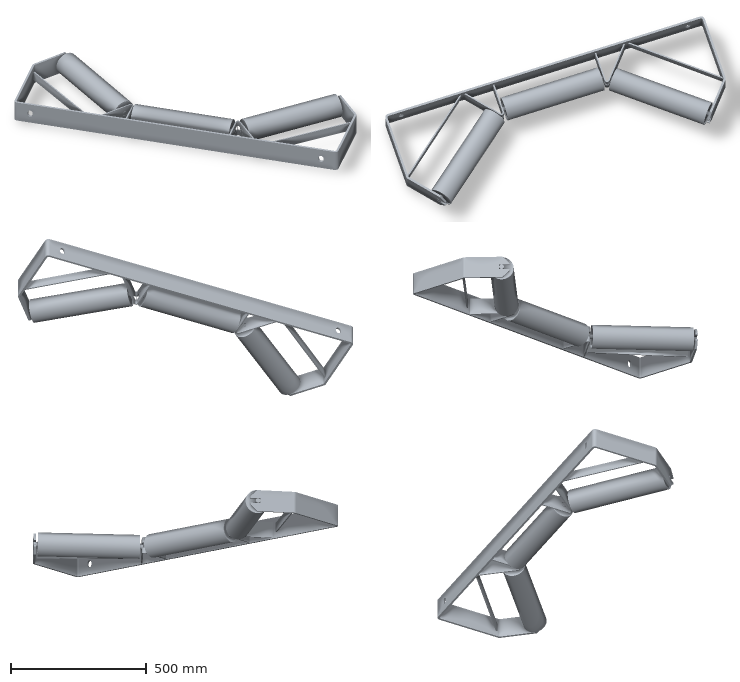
import cadquery as cq
import math


frame_length = 1240.0
frame_width = 79.0
frame_thickness = 8.0
side_height = 262.0
arm_length = 167.0
bend_radius = 14.0
arm_corner_chamfer = 25.0
mount_hole_spacing = 1114.0
mount_hole_width = 19.0
mount_hole_height = 26.0

wing_angle = 40.0
roller_diameter = 88.0
roller_length = 376.0
shaft_diameter = 17.0
tube_wall = 2.0
end_recess = 5.0
shaft_seat_from_tip = 29.0
arm_gap = 7.0
bracket_gap = 7.0
middle_roller_height = 100.0
roller_drop = 7.0

bracket_thickness = 5.0
bracket_width = 60.0
bracket_bend_radius = 10.0
slot_width = 19.0

strut_thickness = 5.0
strut_width = 35.0
strut_foot = 327.0

SIDES = (-1, 1)
slope = math.radians(wing_angle)
inner_bend_radius = bend_radius - frame_thickness
half_length = frame_length / 2


def along_arm(start, distance):
    """Point reached from start by moving up the right-hand arm."""
    return (start[0] - distance * math.sin(slope), start[1] + distance * math.cos(slope))


def along_wing(start, distance):
    """Point reached from start by moving inwards and down along the right-hand wing roller axis."""
    return (start[0] - distance * math.cos(slope), start[1] - distance * math.sin(slope))


def prism(points, width):
    """Straight-sided plate with the given outline in XY, centred on Z."""
    return cq.Workplane("XY").polyline(points).close().extrude(width / 2, both=True)


def mirrored(point):
    return (-point[0], point[1])


arm_bend = (half_length, side_height)
arm_tip = along_arm(arm_bend, arm_length)
arm_seat = along_arm(arm_tip, -shaft_seat_from_tip)
wing_outer_end = along_wing(arm_seat, frame_thickness + arm_gap)
wing_inner_end = along_wing(wing_outer_end, roller_length)
bracket_wing_face = along_wing(wing_inner_end, bracket_gap)
bracket_middle_face = roller_length / 2 + bracket_gap


def shaft_slot(seat, direction_angle, thickness, z):
    """Cutter for a shaft slot through a plate, running from the seat past the plate's edge.

    The plate's outward edge direction makes direction_angle with +X in the XY plane."""
    bottom = shaft_diameter / 2
    reach = 3 * shaft_diameter
    cutter = cq.Workplane("XY").box(bottom + reach, 2 * thickness, slot_width, centered=(False, True, True))
    cutter = cutter.translate((-bottom, 0, 0)).rotate((0, 0, 0), (0, 0, 1), direction_angle)
    return cutter.translate((seat[0], seat[1], z))


def make_frame():
    inner_side = half_length - frame_thickness
    inner_bend = (inner_side, side_height - frame_thickness * math.tan(slope / 2))
    right_half = [
        (half_length, 0),
        arm_bend,
        arm_tip,
        along_wing(arm_tip, frame_thickness),
        inner_bend,
        (inner_side, frame_thickness),
    ]
    left_half = [mirrored(point) for point in reversed(right_half)]
    frame = prism(right_half + left_half, frame_width)

    for side in SIDES:
        for corner, radius in (
            ((half_length, 0), bend_radius),
            (arm_bend, bend_radius),
            (inner_bend, inner_bend_radius),
            ((inner_side, frame_thickness), inner_bend_radius),
        ):
            frame = frame.edges(cq.NearestToPointSelector((side * corner[0], corner[1], 0))).fillet(radius)
        tip = along_wing(arm_tip, frame_thickness / 2)
        for end in (-1, 1):
            corner = (side * tip[0], tip[1], end * frame_width / 2)
            frame = frame.edges(cq.NearestToPointSelector(corner)).chamfer(arm_corner_chamfer)
        seat = along_wing(arm_seat, frame_thickness / 2)
        slot = shaft_slot(seat, 90 + wing_angle, frame_thickness, 0)
        if side < 0:
            slot = slot.mirror("YZ")
        frame = frame.cut(slot)
    holes = (
        cq.Workplane("XZ")
        .pushPoints([(side * mount_hole_spacing / 2, 0) for side in SIDES])
        .slot2D(mount_hole_height, mount_hole_width, 90)
        .extrude(-frame_thickness)
    )
    return frame.cut(holes)


def make_bracket(side):
    def leg_meeting(offset):
        x = bracket_middle_face + offset
        face = along_wing(bracket_wing_face, offset)
        rise = (face[0] - x) / math.tan(slope)
        return (x, face[1] + rise)

    def foot(offset):
        face = along_wing(bracket_wing_face, offset)
        return (face[0] + (face[1] - frame_thickness) * math.tan(slope), frame_thickness)

    outer_apex = leg_meeting(0)
    inner_apex = leg_meeting(bracket_thickness)
    outline = [
        (bracket_middle_face, frame_thickness),
        outer_apex,
        foot(0),
        foot(bracket_thickness),
        inner_apex,
        (inner_apex[0], frame_thickness),
    ]
    bracket = prism(outline, bracket_width).translate((0, 0, -roller_drop))
    for apex, radius in ((outer_apex, bracket_bend_radius), (inner_apex, bracket_bend_radius - bracket_thickness)):
        bracket = bracket.edges(cq.NearestToPointSelector((*apex, -roller_drop))).fillet(radius)
    middle_seat = (bracket_middle_face + bracket_thickness / 2, middle_roller_height)
    wing_seat = along_wing(bracket_wing_face, bracket_thickness / 2)
    bracket = bracket.cut(shaft_slot(middle_seat, 90, bracket_thickness, -roller_drop))
    bracket = bracket.cut(shaft_slot(wing_seat, 90 + wing_angle, bracket_thickness, -roller_drop))
    return bracket if side > 0 else bracket.mirror("YZ")


def make_strut(side):
    half_run = strut_thickness / 2 / math.sin(slope)
    half_rise = strut_thickness / 2 / math.cos(slope)
    wall = half_length - frame_thickness
    top = frame_thickness + (wall - strut_foot) * math.tan(slope)
    strut = prism(
        [
            (strut_foot - half_run, frame_thickness),
            (strut_foot + half_run, frame_thickness),
            (wall, top - half_rise),
            (wall, top + half_rise),
        ],
        strut_width,
    )
    return strut if side > 0 else strut.mirror("YZ")


def make_roller(start, end, start_shaft, end_shaft):
    """Roller between two end centres, with a stub shaft of the given length past each end."""
    axis = cq.Vector(*end) - cq.Vector(*start)
    length = axis.Length
    plane = cq.Plane(origin=start, normal=axis)
    roller = cq.Workplane(plane).circle(roller_diameter / 2).extrude(length)
    for recess_start in (0, length - end_recess):
        recess = (
            cq.Workplane(plane)
            .workplane(offset=recess_start)
            .circle(roller_diameter / 2 - tube_wall)
            .extrude(end_recess)
        )
        roller = roller.cut(recess)
    shaft = (
        cq.Workplane(plane)
        .workplane(offset=-start_shaft)
        .circle(shaft_diameter / 2)
        .extrude(start_shaft + length + end_shaft)
    )
    return roller.union(shaft)


bracket_stub = bracket_gap + bracket_thickness
arm_stub = arm_gap + frame_thickness

frame = make_frame()
brackets = [make_bracket(side) for side in SIDES]
struts = [make_strut(side) for side in SIDES]
middle_roller = make_roller(
    (-roller_length / 2, middle_roller_height, -roller_drop),
    (roller_length / 2, middle_roller_height, -roller_drop),
    bracket_stub,
    bracket_stub,
)
wing_rollers = [
    make_roller(
        (side * wing_inner_end[0], wing_inner_end[1], -roller_drop),
        (side * wing_outer_end[0], wing_outer_end[1], 0),
        bracket_stub,
        arm_stub,
    )
    for side in SIDES
]

bodies = [frame, *brackets, *struts, middle_roller, *wing_rollers]
result = cq.Compound.makeCompound([body.val() for body in bodies])